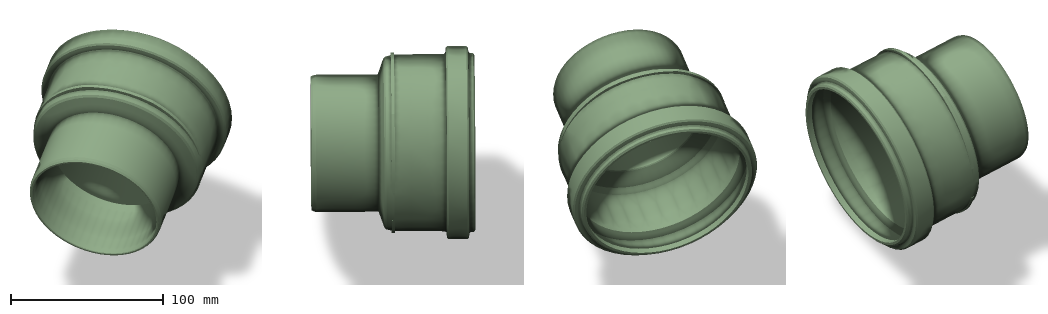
import cadquery as cq
import math

total_length = 107.34

spigot_radius = 90.0 / 2
bore_radius = 84.6 / 2
spigot_bevel_length = 3.1
spigot_bevel_depth = 0.5
spigot_edge_length = 1.3
spigot_edge_depth = 0.7
bore_edge_chamfer = 0.4
bore_root_chamfer = 0.6
spigot_root_y = 44.0

wall = 2.4
body_mouth_radius = 116.3 / 2
body_root_radius = 115.7 / 2
body_root_y = 54.2
shoulder_band_y = 48.9
shoulder_band_radius = 56.6
shoulder_top_y = 47.7
shoulder_top_radius = 55.4

bead_radius = 126.7 / 2
bead_front_y = 88.3
bead_back_y = 103.5
bead_face_slope = 0.4
bead_groove_radius = 121.9 / 2
bead_edge_bevel = 1.0
bead_root_length = 1.0
bead_root_rise = 0.6

lip_radius = 58.6
lip_bevel_length = 0.9
lip_bevel_depth = 1.2
lip_root_y = 104.6
lip_root_rise = 0.8

rib_front_y = 52.5
rib_back_y = 54.6
rib_crown_z = 59.85
rib_joint_x = 23.9
rib_joint_z = 55.4
rib_side_angle = 46.0
rib_side_radius = 59.3
rib_end_x = 56.3
rib_end_z = 14.0


def revolve_about_y(points):
    """Turn a closed outline of (radius, y) points about the Y axis."""
    return cq.Workplane("XY").polyline(points).close().revolve(360, (0, 0, 0), (0, 1, 0))


def make_outer_solid():
    """Outside of the fitting as a filled body of revolution."""
    bead_root_front_y = bead_front_y - bead_root_length
    bead_rim_front_y = bead_front_y + bead_face_slope
    bead_rim_back_y = bead_back_y - bead_face_slope
    outline = [
        (0, 0),
        (spigot_radius - spigot_bevel_depth - spigot_edge_depth, 0),
        (spigot_radius - spigot_bevel_depth, spigot_edge_length),
        (spigot_radius, spigot_bevel_length),
        (spigot_radius, spigot_root_y),
        (shoulder_top_radius, shoulder_top_y),
        (shoulder_band_radius, shoulder_band_y),
        (body_root_radius, body_root_y),
        (body_mouth_radius, bead_root_front_y),
        (body_mouth_radius + bead_root_rise, bead_front_y),
        (bead_radius - bead_edge_bevel, bead_rim_front_y),
        (bead_radius, bead_rim_front_y + bead_edge_bevel),
        (bead_radius, bead_rim_back_y - bead_edge_bevel),
        (bead_radius - bead_edge_bevel, bead_rim_back_y),
        (lip_radius + lip_root_rise, bead_back_y),
        (lip_radius, lip_root_y),
        (lip_radius, total_length - lip_bevel_length),
        (lip_radius - lip_bevel_depth, total_length),
        (0, total_length),
    ]
    return revolve_about_y(outline)


def make_cavity():
    """Through passage: spigot bore, inner cone, socket and sealing-ring groove."""
    bore_root_y = spigot_root_y + wall / 2
    outline = [
        (0, 0),
        (bore_radius + bore_edge_chamfer, 0),
        (bore_radius, bore_edge_chamfer),
        (bore_radius, bore_root_y - bore_root_chamfer),
        (bore_radius + bore_root_chamfer, bore_root_y),
        (shoulder_top_radius - wall, shoulder_top_y + wall),
        (body_root_radius - wall, body_root_y),
        (body_mouth_radius - wall, bead_front_y),
        (bead_groove_radius, bead_front_y + wall),
        (bead_groove_radius, bead_back_y - wall),
        (body_mouth_radius - wall, bead_back_y),
        (body_mouth_radius - wall, total_length),
        (0, total_length),
    ]
    return revolve_about_y(outline)


def make_rib():
    """Upper rib as a filled plate; the cavity is cut from it later."""
    side_x = rib_side_radius * math.sin(math.radians(rib_side_angle))
    side_z = rib_side_radius * math.cos(math.radians(rib_side_angle))
    return (
        cq.Workplane("XZ", origin=(0, rib_back_y, 0))
        .moveTo(-rib_end_x, rib_end_z)
        .threePointArc((-side_x, side_z), (-rib_joint_x, rib_joint_z))
        .threePointArc((0, rib_crown_z), (rib_joint_x, rib_joint_z))
        .threePointArc((side_x, side_z), (rib_end_x, rib_end_z))
        .close()
        .extrude(rib_back_y - rib_front_y)
    )


upper_rib = make_rib()
lower_rib = upper_rib.mirror("XY")
result = make_outer_solid().union(upper_rib).union(lower_rib).cut(make_cavity())